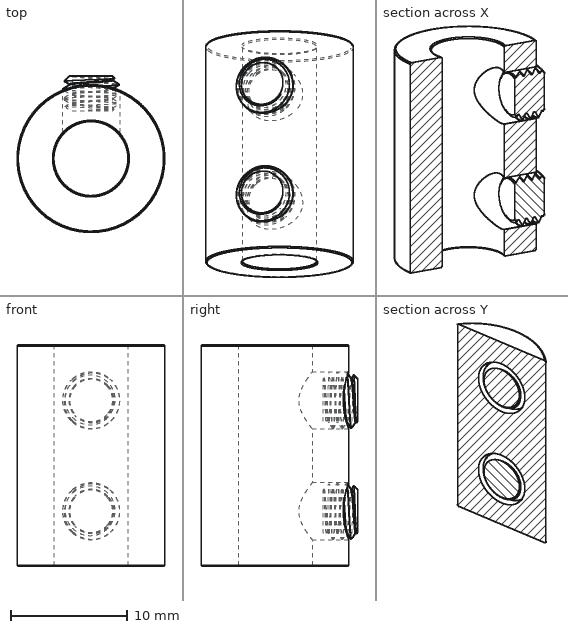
import cadquery as cq
import math

COLLAR_LENGTH = 19.05
COLLAR_RADIUS = 6.353
BORE_RADIUS = 3.18
EDGE_CHAMFER = 0.11

SCREW_HEIGHTS = (-COLLAR_LENGTH / 4, COLLAR_LENGTH / 4)
SCREW_RADIUS = 2.44
HOLE_RADIUS = 2.45
SCREW_OUTER_Y = 7.115
SCREW_LENGTH = 3.01
SCREW_CHAMFER = 0.61

THREAD_PITCH = 0.8
THREAD_DEPTH = 0.53
CORE_RADIUS = SCREW_RADIUS - THREAD_DEPTH
CREST_FLAT = 0.04
RIDGE_EMBED = 0.05
RIDGE_BASE_WIDTH = 0.78
FIRST_CREST_DEPTH = 0.76

TRIM_MARGIN = 1.9
ENVELOPE_CLEARANCE = 0.2


def make_collar():
    """Bored cylinder with broken edges and a plain cross hole for each screw."""
    collar = (
        cq.Workplane("XY")
        .circle(COLLAR_RADIUS)
        .circle(BORE_RADIUS)
        .extrude(COLLAR_LENGTH / 2, both=True)
        .faces("<Z or >Z")
        .edges()
        .chamfer(EDGE_CHAMFER)
    )
    for height in SCREW_HEIGHTS:
        hole = cq.Solid.makeCylinder(
            HOLE_RADIUS, COLLAR_RADIUS, cq.Vector(0, 0, height), cq.Vector(0, 1, 0)
        )
        collar = collar.cut(cq.Workplane(hole))
    return collar


def make_thread_ridge():
    """Helical V ridge around Z, rooted inside the core, running past both ends of the screw."""
    base_radius = CORE_RADIUS - RIDGE_EMBED
    half_base = RIDGE_BASE_WIDTH / 2
    half_crest = CREST_FLAT / 2
    turns_below = math.ceil((SCREW_LENGTH - FIRST_CREST_DEPTH) / THREAD_PITCH) + 1
    turns_above = math.ceil(FIRST_CREST_DEPTH / THREAD_PITCH) + 1
    height = (turns_below + turns_above) * THREAD_PITCH

    helix = cq.Wire.makeHelix(THREAD_PITCH, height, SCREW_RADIUS)
    ridge = (
        cq.Workplane("XZ")
        .moveTo(base_radius, -half_base)
        .lineTo(SCREW_RADIUS, -half_crest)
        .lineTo(SCREW_RADIUS, half_crest)
        .lineTo(base_radius, half_base)
        .close()
        .sweep(cq.Workplane(helix), isFrenet=True)
    )
    return ridge.translate((0, 0, -FIRST_CREST_DEPTH - turns_below * THREAD_PITCH))


def make_screw(height):
    """Set screw, modelled hanging from Z = 0, cut to length with conical ends and laid along Y."""
    core = (
        cq.Workplane("XY")
        .workplane(offset=TRIM_MARGIN)
        .circle(CORE_RADIUS)
        .extrude(-SCREW_LENGTH - 2 * TRIM_MARGIN)
    )
    envelope = (
        cq.Workplane("XY")
        .circle(SCREW_RADIUS + ENVELOPE_CLEARANCE)
        .extrude(-SCREW_LENGTH)
        .faces("<Z or >Z")
        .edges()
        .chamfer(SCREW_CHAMFER + ENVELOPE_CLEARANCE)
    )
    screw = core.union(make_thread_ridge()).intersect(envelope)
    lying = screw.rotate((0, 0, 0), (1, 0, 0), -90)
    return lying.translate((0, SCREW_OUTER_Y, height))


collar = make_collar()
screws = [make_screw(height) for height in SCREW_HEIGHTS]

result = cq.Compound.makeCompound([collar.val(), *[screw.val() for screw in screws]])